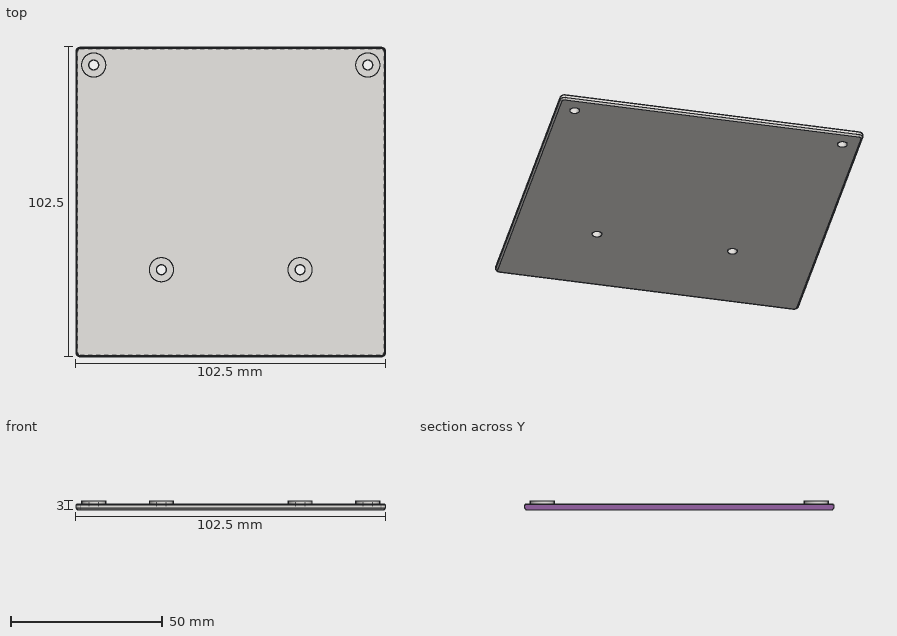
import cadquery as cq

plate_side = 102.5
plate_thickness = 2.0
corner_radius = 1.5
top_chamfer = 0.4
bottom_chamfer = 0.6

boss_diameter = 8.0
boss_height = 1.0
hole_diameter = 3.2

rear_pair_spacing = 90.7
rear_pair_y = rear_pair_spacing / 2
front_pair_spacing = 45.9
front_pair_y = -22.4


def pair_points(spacing, y):
    """Two points mirrored about the YZ plane."""
    return [(side * spacing / 2, y) for side in (-1, 1)]


def make_plate():
    """Square plate with rounded corners and chamfered top and bottom rims."""
    plate = cq.Workplane("XY").box(plate_side, plate_side, plate_thickness, centered=(True, True, False))
    plate = plate.edges("|Z").fillet(corner_radius)
    plate = plate.faces(">Z").edges().chamfer(top_chamfer)
    return plate.faces("<Z").edges().chamfer(bottom_chamfer)


def make_cylinders(points, diameter, height):
    """Equal upright cylinders starting at the underside of the plate."""
    return cq.Workplane("XY").pushPoints(points).circle(diameter / 2).extrude(height)


boss_points = pair_points(rear_pair_spacing, rear_pair_y) + pair_points(front_pair_spacing, front_pair_y)
total_height = plate_thickness + boss_height

bosses = make_cylinders(boss_points, boss_diameter, total_height)
holes = make_cylinders(boss_points, hole_diameter, total_height)

result = make_plate().union(bosses).cut(holes)